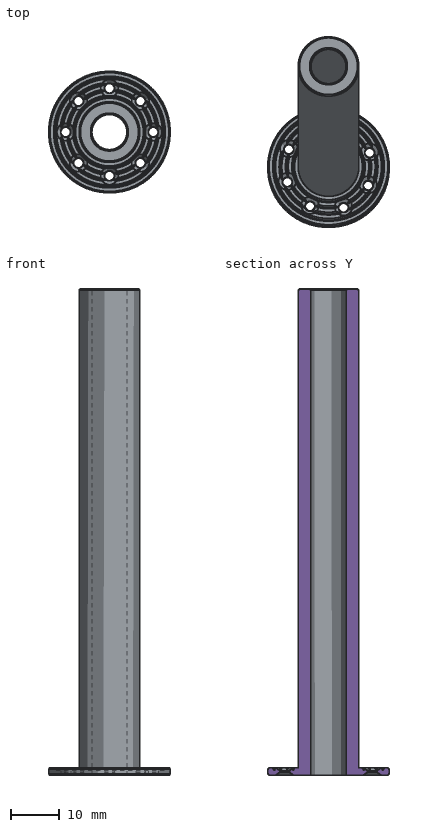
import cadquery as cq

edge_chamfer = 0.3

total_height = 100.0
tube_diameter = 12.5
bore_diameter = 7.2

flange_diameter = 25.0
flange_thickness = 1.6

hole_count = 8
hole_diameter = 2.0
hole_circle_radius = 9.0
countersink_diameter = 3.6
countersink_depth = 0.6

groove_count = 4
groove_width = 0.6
groove_depth = 0.5
flat_inner_radius = tube_diameter / 2
flat_outer_radius = flange_diameter / 2 - edge_chamfer
land_width = (flat_outer_radius - flat_inner_radius - groove_count * groove_width) / (groove_count + 1)
groove_pitch = land_width + groove_width
first_groove_radius = flat_inner_radius + land_width + groove_width / 2


def make_flange():
    """Round disc with both rim edges chamfered."""
    disc = cq.Workplane("XY").circle(flange_diameter / 2).extrude(flange_thickness)
    return disc.edges().chamfer(edge_chamfer)


def make_tube():
    """Solid round post with its top edge chamfered."""
    post = cq.Workplane("XY").circle(tube_diameter / 2).extrude(total_height)
    return post.faces(">Z").edges().chamfer(edge_chamfer)


def make_bore():
    """Through bore that widens at the top by its edge chamfer."""
    bore_radius = bore_diameter / 2
    profile = [
        (0, 0),
        (bore_radius, 0),
        (bore_radius, total_height - edge_chamfer),
        (bore_radius + edge_chamfer, total_height),
        (0, total_height),
    ]
    return cq.Workplane("XZ").polyline(profile).close().revolve(360, (0, 0), (0, 1))


def make_groove(radius):
    """Ring with a V section, open at the top of the flange."""
    profile = [
        (radius - groove_width / 2, flange_thickness),
        (radius, flange_thickness - groove_depth),
        (radius + groove_width / 2, flange_thickness),
    ]
    return cq.Workplane("XZ").polyline(profile).close().revolve(360, (0, 0), (0, 1))


def make_screw_hole():
    """Through hole on the flange axis, countersunk from both flange faces."""
    hole_radius = hole_diameter / 2
    countersink_radius = countersink_diameter / 2
    profile = [
        (0, 0),
        (countersink_radius, 0),
        (hole_radius, countersink_depth),
        (hole_radius, flange_thickness - countersink_depth),
        (countersink_radius, flange_thickness),
        (0, flange_thickness),
    ]
    return cq.Workplane("XZ").polyline(profile).close().revolve(360, (0, 0), (0, 1))


result = make_flange().union(make_tube()).cut(make_bore())

for groove_index in range(groove_count):
    result = result.cut(make_groove(first_groove_radius + groove_index * groove_pitch))

screw_hole = make_screw_hole().translate((hole_circle_radius, 0, 0))
for hole_index in range(hole_count):
    hole_angle = hole_index * 360 / hole_count
    result = result.cut(screw_hole.rotate((0, 0, 0), (0, 0, 1), hole_angle))